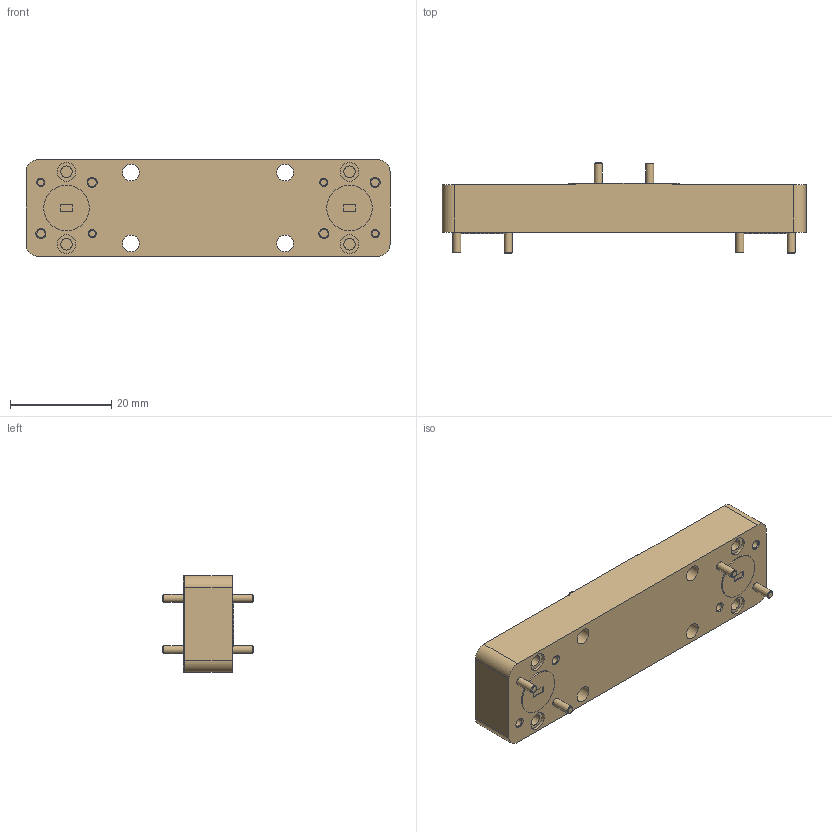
import cadquery as cq
import math

LENGTH = 71.88
HEIGHT = 19.05
BODY_DEPTH = 9.4
CORNER_RADIUS = 2.4
OVERALL_DEPTH = 17.78

PAD_WIDTH = 22.0
PAD_RAISE = 0.25
PAD_CORNER_RADIUS = 1.5

FLANGE_X = 27.94
FLANGE_BOSS_DIAMETER = 9.0
FLANGE_BOSS_RAISE = 0.25
GUIDE_WIDTH = 2.54
GUIDE_HEIGHT = 1.27
GUIDE_DEPTH = FLANGE_BOSS_RAISE
BOLT_CIRCLE_RADIUS = 14.29 / 2
PIN_OFFSET = BOLT_CIRCLE_RADIUS * math.sin(math.radians(45))

PIN_DIAMETER = 1.575
FRONT_PIN_LENGTH = 4.1
REAR_PIN_TIP = OVERALL_DEPTH - FRONT_PIN_LENGTH
PIN_CHAMFER = 0.15
PIN_HOLE_MOUTH = 2.0
PIN_HOLE_BORE = 1.65
PIN_HOLE_CHAMFER = (PIN_HOLE_MOUTH - PIN_HOLE_BORE) / 2
PIN_HOLE_DEPTH = 4.5

SCREW_BORE = 2.3
SCREW_BORE_DEPTH = 6.0
SCREW_COUNTERBORE = 3.7
SCREW_COUNTERBORE_DEPTH = 0.6

MOUNT_X = 15.24
MOUNT_Z = 6.985
MOUNT_DIAMETER = 3.3


def rounded_block(width, y_start, depth, radius):
    """Full-height rounded rectangle running from y_start toward +Y."""
    block = cq.Workplane("XY").box(width, depth, HEIGHT, centered=(True, False, True))
    return block.edges("|Y").fillet(radius).translate((0, y_start, 0))


def rod(x, z, y_start, length, diameter):
    """Round bar along +Y."""
    plane = cq.Workplane("XZ", origin=(x, y_start, z))
    return plane.circle(diameter / 2).extrude(-length)


def front_pin(x, z):
    pin = rod(x, z, -FRONT_PIN_LENGTH, FRONT_PIN_LENGTH, PIN_DIAMETER)
    return pin.faces("<Y").chamfer(PIN_CHAMFER)


def rear_pin(x, z):
    pin = rod(x, z, BODY_DEPTH, REAR_PIN_TIP - BODY_DEPTH, PIN_DIAMETER)
    return pin.faces(">Y").chamfer(PIN_CHAMFER)


def pin_hole(x, z):
    """Blind hole with a chamfered mouth."""
    bore = rod(x, z, 0, PIN_HOLE_DEPTH, PIN_HOLE_BORE)
    mouth = cq.Solid.makeCone(
        PIN_HOLE_MOUTH / 2,
        PIN_HOLE_BORE / 2,
        PIN_HOLE_CHAMFER,
        pnt=cq.Vector(x, 0, z),
        dir=cq.Vector(0, 1, 0),
    )
    return bore.union(mouth)


def screw_hole(x, z):
    bore = rod(x, z, 0, SCREW_BORE_DEPTH, SCREW_BORE)
    return bore.union(rod(x, z, 0, SCREW_COUNTERBORE_DEPTH, SCREW_COUNTERBORE))


def add_flange(part, x):
    """Raised boss with a waveguide window, screw holes, and pins and pin holes on opposite diagonals."""
    part = part.union(rod(x, 0, -FLANGE_BOSS_RAISE, FLANGE_BOSS_RAISE, FLANGE_BOSS_DIAMETER))
    guide_plane = cq.Workplane("XZ", origin=(x, -FLANGE_BOSS_RAISE, 0))
    part = part.cut(guide_plane.rect(GUIDE_WIDTH, GUIDE_HEIGHT).extrude(-GUIDE_DEPTH))
    for side in (-1, 1):
        offset = side * PIN_OFFSET
        part = part.cut(screw_hole(x, side * BOLT_CIRCLE_RADIUS))
        part = part.cut(pin_hole(x + offset, offset))
        part = part.union(front_pin(x + offset, -offset))
    return part


result = rounded_block(LENGTH, 0, BODY_DEPTH, CORNER_RADIUS)
result = result.union(rounded_block(PAD_WIDTH, BODY_DEPTH, PAD_RAISE, PAD_CORNER_RADIUS))

for mount_x in (-MOUNT_X, MOUNT_X):
    for mount_z in (-MOUNT_Z, MOUNT_Z):
        result = result.cut(rod(mount_x, mount_z, 0, BODY_DEPTH, MOUNT_DIAMETER))

for flange_x in (-FLANGE_X, FLANGE_X):
    result = add_flange(result, flange_x)

for side in (-1, 1):
    result = result.union(rear_pin(side * PIN_OFFSET, -side * PIN_OFFSET))